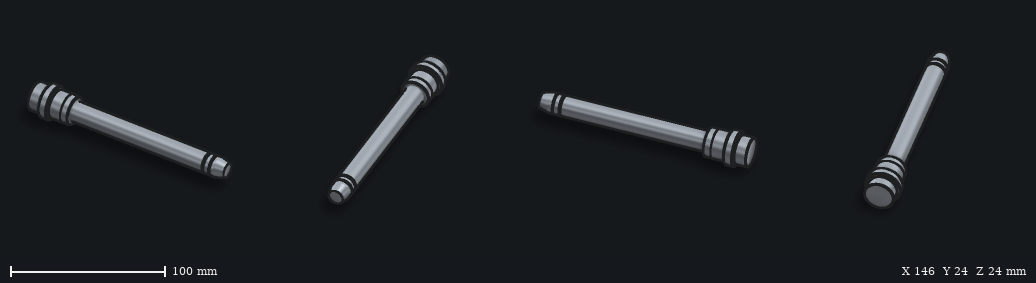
import cadquery as cq

length = 146.0
head_diameter = 20.0
collar_diameter = 24.0
shaft_diameter = 14.0

collar_start = 9.0
collar_end = 15.0
seat_end = 24.7
head_end = 30.1
taper_start = 139.1

edge_chamfer = 0.5
relief_width = 0.9
relief_depth = 0.5
lead_in_step = 0.07
root_fillet = 0.5
tip_diameter = 10.2
tip_bulge = 0.1

ring_grooves = [(130.4, 1.3, 0.3), (135.5, 0.9, 0.3)]


def cylinder(start, end, diameter):
    return cq.Workplane("YZ", origin=(start, 0, 0)).circle(diameter / 2).extrude(end - start)


def make_head():
    face_end = cylinder(0, collar_start, head_diameter).faces("<X").chamfer(edge_chamfer)
    collar = cylinder(collar_start, collar_end, collar_diameter).edges().chamfer(edge_chamfer)
    seat = cylinder(collar_end, seat_end, head_diameter)
    lead_in = cylinder(seat_end, head_end, head_diameter - 2 * lead_in_step)
    lead_in = lead_in.faces(">X").chamfer(edge_chamfer)
    return face_end.union(collar).union(seat).union(lead_in)


def make_relief(start):
    """Ring that undercuts the head beside the collar."""
    outer = cylinder(start, start + relief_width, head_diameter)
    inner = cylinder(start, start + relief_width, head_diameter - 2 * relief_depth)
    return outer.cut(inner)


def make_shaft():
    """Shaft with a filleted root, ring grooves and a slightly crowned, tapered tip."""
    radius = shaft_diameter / 2
    tip_radius = tip_diameter / 2
    crown = ((taper_start + length) / 2, (radius + tip_radius) / 2 + tip_bulge)
    profile = (
        cq.Workplane("XY")
        .moveTo(collar_end, 0)
        .lineTo(collar_end, radius + root_fillet)
        .lineTo(head_end, radius + root_fillet)
        .radiusArc((head_end + root_fillet, radius), -root_fillet)
    )
    for start, width, depth in ring_grooves:
        profile = profile.lineTo(start, radius)
        profile = profile.threePointArc((start + width / 2, radius - depth), (start + width, radius))
    profile = profile.lineTo(taper_start, radius).threePointArc(crown, (length, tip_radius))
    profile = profile.lineTo(length, 0).close()
    return profile.revolve(360, (0, 0, 0), (1, 0, 0))


result = make_head().union(make_shaft())
for relief_start in (collar_start - relief_width, collar_end):
    result = result.cut(make_relief(relief_start))